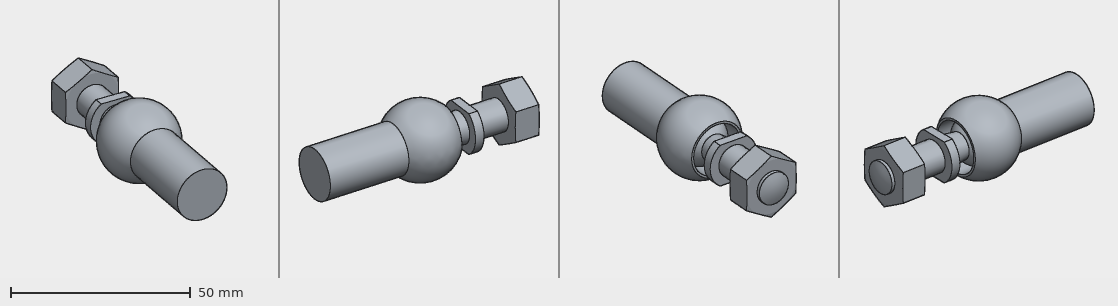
import cadquery as cq
import math

total_length = 71.0
nut_start = 2.0
nut_thickness = 8.0
collar_start = 20.0
collar_thickness = 2.85
housing_start = 27.8
ball_center = 36.1

stem_radius = 10.0 / 2
tip_height = 0.9
neck_radius = 8.4 / 2
ball_radius = 16.0 / 2
collar_radius = ball_radius
collar_across_flats = 13.05

nut_across_flats = 17.0
nut_chamfer_depth = 0.2

housing_radius = 23.9 / 2
shank_radius = 16.0 / 2


def cylinder(start, length, radius):
    return cq.Workplane("YZ", origin=(start, 0, 0)).circle(radius).extrude(length)


def revolve_about_x(profile):
    return profile.close().revolve(360, (0, 0, 0), (1, 0, 0))


def make_stud():
    """Domed stem, tapered neck and ball as one turned profile."""
    dome_radius = (stem_radius**2 + tip_height**2) / (2 * tip_height)
    half_angle = math.asin(stem_radius / dome_radius) / 2
    dome_mid = (dome_radius * (1 - math.cos(half_angle)), dome_radius * math.sin(half_angle))
    collar_end = collar_start + collar_thickness
    neck_end = ball_center - math.sqrt(ball_radius**2 - neck_radius**2)
    profile = (
        cq.Workplane("XY")
        .threePointArc(dome_mid, (tip_height, stem_radius))
        .lineTo(collar_end, stem_radius)
        .lineTo(neck_end, neck_radius)
        .threePointArc((ball_center, ball_radius), (ball_center + ball_radius, 0))
    )
    return revolve_about_x(profile)


def make_collar():
    """Round collar with two flats facing up and down."""
    disc = cylinder(collar_start, collar_thickness, collar_radius)
    flats = cq.Workplane("YZ", origin=(collar_start, 0, 0)).rect(
        2 * collar_radius, collar_across_flats
    ).extrude(collar_thickness)
    return disc.intersect(flats)


def make_nut():
    """Hexagon nut with corners up and down, chamfered on both faces."""
    face_radius = nut_across_flats / 2
    corner_radius = face_radius / math.cos(math.pi / 6)
    nut_end = nut_start + nut_thickness
    hexagon = (
        cq.Workplane("YZ", origin=(nut_start, 0, 0))
        .polygon(6, 2 * corner_radius)
        .extrude(nut_thickness)
        .rotate((0, 0, 0), (1, 0, 0), 30)
    )
    chamfer_profile = (
        cq.Workplane("XY")
        .moveTo(nut_start, 0)
        .lineTo(nut_start, face_radius)
        .lineTo(nut_start + nut_chamfer_depth, corner_radius)
        .lineTo(nut_end - nut_chamfer_depth, corner_radius)
        .lineTo(nut_end, face_radius)
        .lineTo(nut_end, 0)
    )
    return hexagon.intersect(revolve_about_x(chamfer_profile))


def make_housing():
    """Spherical housing cut flat at its mouth, with a shank and a bore for the ball."""
    mouth_radius = math.sqrt(housing_radius**2 - (ball_center - housing_start) ** 2)
    shank_start = ball_center + math.sqrt(housing_radius**2 - shank_radius**2)
    profile = (
        cq.Workplane("XY")
        .moveTo(housing_start, 0)
        .lineTo(housing_start, mouth_radius)
        .threePointArc((ball_center, housing_radius), (shank_start, shank_radius))
        .lineTo(total_length, shank_radius)
        .lineTo(total_length, 0)
    )
    bore = cylinder(housing_start, ball_center - housing_start, ball_radius)
    return revolve_about_x(profile).cut(bore)


result = make_housing().union(make_stud()).union(make_collar()).union(make_nut())